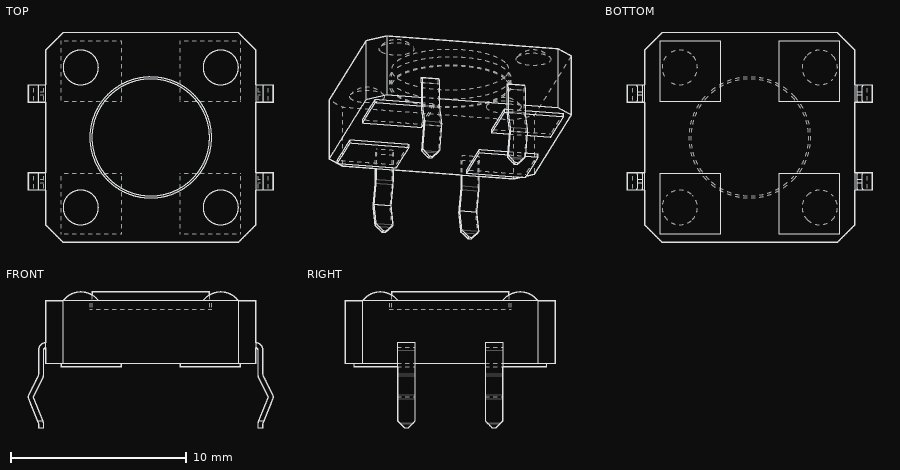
import cadquery as cq
import math

body_side = 12.0
body_height = 3.6
corner_cut = 1.0

button_diameter = 6.7
recess_diameter = 6.95
top_rise = 0.5
recess_depth = top_rise

dome_diameter = 2.0
dome_offset = body_side / 3

foot_side = 3.45
foot_height = 0.2
foot_outer_x = 5.12
foot_outer_y = 5.5

overall_height = 7.8
strip_thickness = 0.3
strip_width = 1.0
terminal_offset_y = 2.5
terminal_outer_x = 6.41
terminal_top_z = 1.2
terminal_tip_z = body_height + top_rise - overall_height
terminal_root_x = body_side / 2 - strip_thickness
upper_bend_z = -0.66
middle_bend_x = 7.03
middle_bend_z = -1.9
lower_bend_z = -3.43
shoulder_inner_radius = 0.15
bend_radius = 0.2
tip_chamfer = 0.4


def make_body():
    body = cq.Workplane("XY").box(body_side, body_side, body_height, centered=(True, True, False))
    body = body.edges("|Z").chamfer(corner_cut)
    recess = cq.Workplane("XY").workplane(offset=body_height - recess_depth)
    return body.cut(recess.circle(recess_diameter / 2).extrude(recess_depth))


def make_button():
    base = cq.Workplane("XY").workplane(offset=body_height - recess_depth)
    return base.circle(button_diameter / 2).extrude(recess_depth + top_rise)


def make_dome():
    """Spherical cap on the Z axis, resting on the top of the housing."""
    base_radius = dome_diameter / 2
    sphere_radius = (base_radius**2 + top_rise**2) / (2 * top_rise)
    centre_z = body_height + top_rise - sphere_radius
    arc_angle = math.asin(base_radius / sphere_radius) / 2
    arc_middle = (sphere_radius * math.sin(arc_angle), centre_z + sphere_radius * math.cos(arc_angle))
    return (
        cq.Workplane("XZ")
        .moveTo(0, body_height)
        .lineTo(base_radius, body_height)
        .threePointArc(arc_middle, (0, body_height + top_rise))
        .close()
        .revolve(360, (0, 0), (0, 1))
    )


def make_foot():
    """Foot in the +X +Y quarter."""
    foot = cq.Workplane("XY").box(foot_side, foot_side, foot_height, centered=(True, True, False))
    return foot.translate((foot_outer_x - foot_side / 2, foot_outer_y - foot_side / 2, -foot_height))


def inner_corner(before, corner, after):
    """Point of the inner face that faces a corner of the outer face, one strip thickness away."""
    angle_in = math.atan2(corner[1] - before[1], corner[0] - before[0])
    angle_out = math.atan2(after[1] - corner[1], after[0] - corner[0])
    mitre_length = strip_thickness / math.cos((angle_out - angle_in) / 2)
    mitre_angle = (angle_in + angle_out) / 2 - math.pi / 2
    return (
        corner[0] + mitre_length * math.cos(mitre_angle),
        corner[1] + mitre_length * math.sin(mitre_angle),
    )


def make_terminal():
    """Terminal on the +X side, centred on Y = 0."""
    outer = [
        (terminal_root_x, terminal_top_z),
        (terminal_outer_x, terminal_top_z),
        (terminal_outer_x, upper_bend_z),
        (middle_bend_x, middle_bend_z),
        (terminal_outer_x, lower_bend_z),
        (terminal_outer_x, terminal_tip_z),
    ]
    inner = [inner_corner(*outer[i - 1:i + 2]) for i in range(1, len(outer) - 1)]
    inner = [
        (terminal_root_x, terminal_top_z - strip_thickness),
        *inner,
        (terminal_outer_x - strip_thickness, terminal_tip_z),
    ]
    strip = cq.Workplane("XZ").polyline(outer + inner[::-1]).close().extrude(strip_width / 2, both=True)
    strip = strip.faces("<Z").edges("|X").chamfer(tip_chamfer)

    bends = [
        (outer[1], shoulder_inner_radius + strip_thickness),
        (inner[1], shoulder_inner_radius),
        (outer[2], bend_radius),
        (inner[2], bend_radius + strip_thickness),
        (outer[3], strip_thickness),
        (outer[4], bend_radius),
        (inner[4], bend_radius + strip_thickness),
    ]
    for (x, z), radius in bends:
        strip = strip.edges(cq.selectors.NearestToPointSelector((x, 0, z))).fillet(radius)
    return strip


result = make_body().union(make_button())
dome = make_dome()
foot = make_foot()
terminal = make_terminal()
for side_x in (-1, 1):
    for side_y in (-1, 1):
        quarter_foot = foot if side_x > 0 else foot.mirror("YZ")
        quarter_foot = quarter_foot if side_y > 0 else quarter_foot.mirror("XZ")
        side_terminal = terminal if side_x > 0 else terminal.mirror("YZ")
        result = result.union(dome.translate((side_x * dome_offset, side_y * dome_offset, 0)))
        result = result.union(quarter_foot)
        result = result.union(side_terminal.translate((0, side_y * terminal_offset_y, 0)))